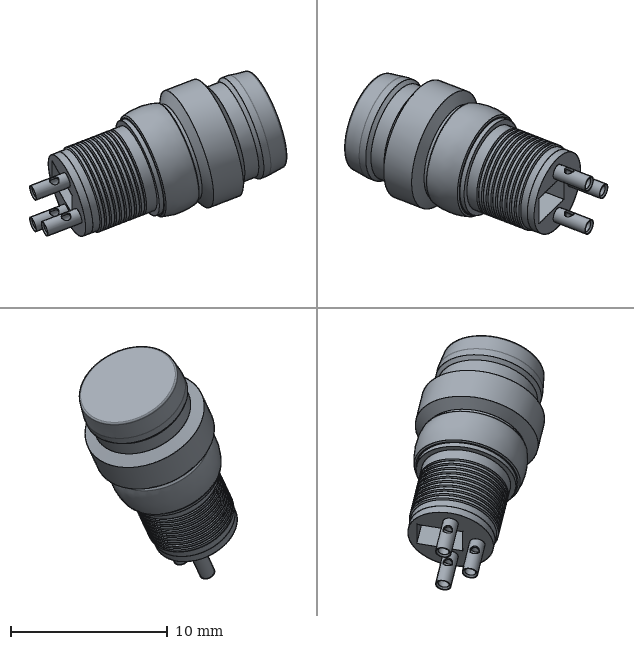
import cadquery as cq
import math

LENGTH = 16.4

LIP_RIM_RADIUS = 3.18
LIP_SHOULDER_RADIUS = 3.3
LIP_SHOULDER_DEPTH = 0.11
LIP_RADIUS = 3.452
LIP_TAPER_DEPTH = 1.25
LIP_STRAIGHT_DEPTH = 1.74
LIP_END_DEPTH = 2.0

NECK_RADIUS = 3.25
RING_RADIUS = 4.0
RING_START = 2.98
RING_END = 6.0
RING_CHAMFER_LENGTH = 0.46
COLLAR_START = 6.26
COLLAR_END = 8.71
COLLAR_FACE_RADIUS = 3.33
COLLAR_EDGE_RADIUS = 3.452
COLLAR_EDGE_CHAMFER = 0.07
COLLAR_ROUNDING = 0.08
COLLAR_RADIUS = 3.62
NECK_END = 9.02

SLEEVE_RADIUS = 2.9
SLEEVE_ROOT_RADIUS = 2.796
GROOVE_START = 9.75
GROOVE_PITCH = 0.353
GROOVE_WIDTH = 0.15
GROOVE_COUNT = 9
SLEEVE_END = 13.5
PLUG_RADIUS = 2.79
PLUG_END = 14.0

POCKET_LEFT = -2.2
POCKET_RIGHT = 0.79
POCKET_HEIGHT = 2.03
POCKET_DEPTH = 3.28

PIN_RADIUS = 0.5
PIN_OFFSET = 1.74
BORE_RADIUS = 0.353
BORE_DEPTH = 1.97
COUNTERSINK_RADIUS = 0.46
BORE_TIP_ANGLE = 118.0
SIDE_HOLE_RADIUS = 0.303
SIDE_HOLE_DEPTH = 14.89
PIN_CENTRES = [(0, PIN_OFFSET), (PIN_OFFSET, 0), (0, -PIN_OFFSET)]


def front_plane(depth):
    """Plane at the given depth, facing -Y, with local axes along +X and +Z."""
    return cq.Workplane("XZ", origin=(0, -depth, 0))


def make_body():
    collar_middle = (COLLAR_START + COLLAR_END) / 2
    profile = (
        cq.Workplane("XY")
        .moveTo(0, 0)
        .lineTo(LIP_RIM_RADIUS, 0)
        .tangentArcPoint((LIP_SHOULDER_RADIUS, -LIP_SHOULDER_DEPTH), relative=False)
        .lineTo(LIP_RADIUS, -LIP_TAPER_DEPTH)
        .lineTo(LIP_RADIUS, -LIP_STRAIGHT_DEPTH)
        .lineTo(NECK_RADIUS, -LIP_END_DEPTH)
        .lineTo(NECK_RADIUS, -RING_START)
        .lineTo(RING_RADIUS, -(RING_START + RING_CHAMFER_LENGTH))
        .lineTo(RING_RADIUS, -(RING_END - RING_CHAMFER_LENGTH))
        .lineTo(NECK_RADIUS, -RING_END)
        .lineTo(NECK_RADIUS, -COLLAR_START)
        .lineTo(COLLAR_FACE_RADIUS, -COLLAR_START)
        .tangentArcPoint((COLLAR_EDGE_RADIUS, -(COLLAR_START + COLLAR_ROUNDING)), relative=False)
        .threePointArc(
            (COLLAR_RADIUS, -collar_middle),
            (COLLAR_EDGE_RADIUS, -(COLLAR_END - COLLAR_EDGE_CHAMFER)),
        )
        .lineTo(COLLAR_FACE_RADIUS, -COLLAR_END)
        .lineTo(NECK_RADIUS, -COLLAR_END)
        .lineTo(NECK_RADIUS, -NECK_END)
        .lineTo(SLEEVE_RADIUS, -NECK_END)
    )
    for index in range(GROOVE_COUNT):
        start = GROOVE_START + index * GROOVE_PITCH
        profile = (
            profile.lineTo(SLEEVE_RADIUS, -start)
            .lineTo(SLEEVE_ROOT_RADIUS, -(start + GROOVE_WIDTH / 2))
            .lineTo(SLEEVE_RADIUS, -(start + GROOVE_WIDTH))
        )
    last_rib_end = GROOVE_START + GROOVE_COUNT * GROOVE_PITCH
    profile = (
        profile.lineTo(SLEEVE_RADIUS, -last_rib_end)
        .lineTo(SLEEVE_ROOT_RADIUS, -(last_rib_end + GROOVE_WIDTH / 2))
        .lineTo(SLEEVE_ROOT_RADIUS, -SLEEVE_END)
        .lineTo(PLUG_RADIUS, -SLEEVE_END)
        .lineTo(PLUG_RADIUS, -PLUG_END)
        .lineTo(0, -PLUG_END)
        .close()
    )
    return profile.revolve(360, (0, 0, 0), (0, 1, 0))


def make_pocket():
    return (
        front_plane(PLUG_END)
        .center((POCKET_LEFT + POCKET_RIGHT) / 2, 0)
        .rect(POCKET_RIGHT - POCKET_LEFT, POCKET_HEIGHT)
        .extrude(-POCKET_DEPTH)
    )


def make_pins():
    return front_plane(PLUG_END).pushPoints(PIN_CENTRES).circle(PIN_RADIUS).extrude(LENGTH - PLUG_END)


def make_bore(x, z):
    """Drilled solder bore with a 45 degree countersink and conical bottom, entered from the pin tip."""
    tip_length = BORE_RADIUS / math.tan(math.radians(BORE_TIP_ANGLE / 2))
    return (
        cq.Workplane("XY", origin=(x, -LENGTH, z))
        .lineTo(COUNTERSINK_RADIUS, 0)
        .lineTo(BORE_RADIUS, COUNTERSINK_RADIUS - BORE_RADIUS)
        .lineTo(BORE_RADIUS, BORE_DEPTH)
        .lineTo(0, BORE_DEPTH + tip_length)
        .close()
        .revolve(360, (0, 0, 0), (0, 1, 0))
    )


def make_side_hole(x, z):
    """Inspection hole from the top of the pin down to the middle of its bore."""
    return (
        cq.Workplane("XY", origin=(x, -SIDE_HOLE_DEPTH, z))
        .circle(SIDE_HOLE_RADIUS)
        .extrude(PIN_RADIUS)
    )


result = make_body().cut(make_pocket()).union(make_pins())
for pin_x, pin_z in PIN_CENTRES:
    result = result.cut(make_bore(pin_x, pin_z)).cut(make_side_hole(pin_x, pin_z))